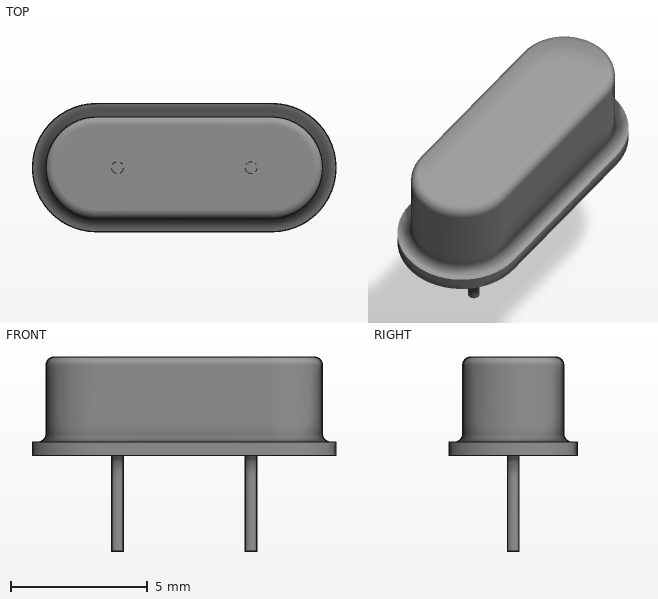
import cadquery as cq

flange_length = 11.1
flange_width = 4.7
flange_thickness = 0.5

flange_ledge = 0.5
can_length = flange_length - 2 * flange_ledge
can_width = flange_width - 2 * flange_ledge
can_height = 3.11
top_radius = 0.3
foot_radius = 0.3

pin_diameter = 0.43
pin_length = 3.5
pin_spacing = 4.88


def stadium(length, width, height, base_z):
    """Upright block with full-round ends along X."""
    return (
        cq.Workplane("XY")
        .workplane(offset=base_z)
        .slot2D(length, width)
        .extrude(height)
    )


flange = stadium(flange_length, flange_width, flange_thickness, 0)
can = stadium(can_length, can_width, can_height, flange_thickness)

can = can.faces(">Z").edges().fillet(top_radius)

body = flange.union(can)
ledge_face = body.faces("+Z").faces("<Z").val()
foot_outline = ledge_face.innerWires()[0].Edges()
body = body.newObject(foot_outline).fillet(foot_radius)

pins = (
    cq.Workplane("XY")
    .pushPoints([(-pin_spacing / 2, 0), (pin_spacing / 2, 0)])
    .circle(pin_diameter / 2)
    .extrude(-pin_length)
)

result = body.union(pins)